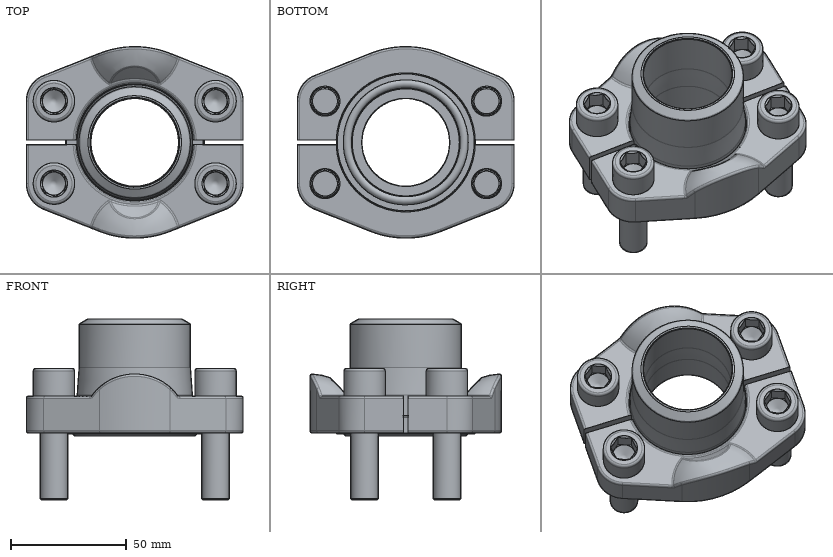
import cadquery as cq
import math


BOLT_X = 70.0 / 2
BOLT_Y = 35.7 / 2

FLANGE_BOTTOM = 0.5
FLANGE_THICKNESS = 16.0
FLANGE_TOP = FLANGE_BOTTOM + FLANGE_THICKNESS
CORNER_RADIUS = 12.0
CROWN_RADIUS = 41.5
EDGE_ROUND = 1.0
SPLIT_GAP = 2.0
BOLT_HOLE_DIAMETER = 13.0
FLANGE_BORE_DIAMETER = 50.8
BORE_CHAMFER = 0.9
HUMP_RADIUS = 24.5
HUMP_CENTRE_Z = 1.6
RELIEF_BASE_RADIUS = 27.4
RELIEF_ANGLE = 34.0

STUB_HEIGHT = 50.0
HEAD_DIAMETER = 60.3
HEAD_HEIGHT = 8.0
HEAD_CHAMFER = 0.5
NECK_DIAMETER = 50.0
NECK_TOP = 17.0
PIPE_DIAMETER = 48.3
PIPE_BOTTOM = 29.0
BEVEL_ANGLE = 30.0
BEVEL_TOP_DIAMETER = 40.5
PIPE_END_CHAMFER = 0.3
LOWER_BORE_DIAMETER = 38.0
UPPER_BORE_DIAMETER = 38.3

SEAL_DIAMETER = 54.17
SEAL_SECTION = 3.53
GROOVE_INNER_DIAMETER = 46.4
SEAL_PROTRUSION = 0.88

SCREW_DIAMETER = 12.0
SCREW_LENGTH = 45.0
SCREW_TIP_CHAMFER = 0.6
CAP_DIAMETER = 18.0
CAP_HEIGHT = 12.0
CAP_ROUND = 1.2
SOCKET_FLATS = 10.0
SOCKET_DEPTH = 8.0
SOCKET_MOUTH_DIAMETER = 11.7
SOCKET_TURN = 8.0
DRILL_POINT_ANGLE = 118.0

SIDE_ANGLE = math.atan2(BOLT_X, BOLT_Y) - math.acos(
    (CROWN_RADIUS - CORNER_RADIUS) / math.hypot(BOLT_X, BOLT_Y)
)


def revolved(points):
    """Solid of revolution about Z from (radius, height) points."""
    return cq.Workplane("XZ").polyline(points).close().revolve(360, (0, 0), (0, 1))


def flange_outline():
    """Crowned hexagonal outline with rounded corners."""
    nx = math.sin(SIDE_ANGLE)
    ny = math.cos(SIDE_ANGLE)
    end_x = BOLT_X + CORNER_RADIUS
    crown_x = CROWN_RADIUS * nx
    crown_y = CROWN_RADIUS * ny
    corner_x = BOLT_X + CORNER_RADIUS * nx
    corner_y = BOLT_Y + CORNER_RADIUS * ny
    mid_angle = SIDE_ANGLE / 2 + math.pi / 4
    mid_x = BOLT_X + CORNER_RADIUS * math.sin(mid_angle)
    mid_y = BOLT_Y + CORNER_RADIUS * math.cos(mid_angle)
    return (
        cq.Workplane("XY", origin=(0, 0, FLANGE_BOTTOM))
        .moveTo(-crown_x, crown_y)
        .threePointArc((0, CROWN_RADIUS), (crown_x, crown_y))
        .lineTo(corner_x, corner_y)
        .threePointArc((mid_x, mid_y), (end_x, BOLT_Y))
        .lineTo(end_x, -BOLT_Y)
        .threePointArc((mid_x, -mid_y), (corner_x, -corner_y))
        .lineTo(crown_x, -crown_y)
        .threePointArc((0, -CROWN_RADIUS), (-crown_x, -crown_y))
        .lineTo(-corner_x, -corner_y)
        .threePointArc((-mid_x, -mid_y), (-end_x, -BOLT_Y))
        .lineTo(-end_x, BOLT_Y)
        .threePointArc((-mid_x, mid_y), (-corner_x, corner_y))
        .close()
    )


def add_humps(plate):
    """Raise a spherical hump over each crown, trimmed to the flange outline."""
    envelope = flange_outline().extrude(FLANGE_THICKNESS + HUMP_RADIUS)
    for side in (1, -1):
        hump = (
            cq.Workplane("XY")
            .sphere(HUMP_RADIUS)
            .rotate((0, 0, 0), (0, 0, 1), 90 * side)
            .translate((0, side * CROWN_RADIUS, HUMP_CENTRE_Z))
        )
        plate = plate.union(hump.intersect(envelope))
    return plate


def hump_relief():
    """Cone that clears the humps back from the pipe, widening upward from the flange top."""
    top_radius = RELIEF_BASE_RADIUS + HUMP_RADIUS * math.tan(math.radians(RELIEF_ANGLE))
    top = FLANGE_TOP + HUMP_RADIUS
    return revolved([
        (0, FLANGE_TOP),
        (RELIEF_BASE_RADIUS, FLANGE_TOP),
        (top_radius, top),
        (0, top),
    ])


def round_edges(plate):
    """Round the bottom rim, the top rim and the edges of the humps."""
    plate = plate.faces("<Z").edges().fillet(EDGE_ROUND)
    lowest_top_edge = FLANGE_TOP - EDGE_ROUND / 2
    top_edges = plate.edges().filter(lambda edge: edge.Center().z > lowest_top_edge)
    return top_edges.fillet(EDGE_ROUND)


def cut_bore(plate):
    """Neck bore with a chamfered and rounded mouth, and the recess for the stub's head."""
    bore_radius = FLANGE_BORE_DIAMETER / 2
    mouth_radius = bore_radius + BORE_CHAMFER
    plate = plate.cut(revolved([
        (0, 0),
        (bore_radius, 0),
        (bore_radius, FLANGE_TOP - BORE_CHAMFER),
        (mouth_radius, FLANGE_TOP),
        (0, FLANGE_TOP),
    ]))
    mouth_edge = plate.edges("%CIRCLE").filter(
        lambda edge: math.isclose(edge.radius(), mouth_radius, abs_tol=0.001)
    )
    plate = mouth_edge.fillet(EDGE_ROUND)
    return plate.cut(cq.Workplane("XY").circle(HEAD_DIAMETER / 2).extrude(HEAD_HEIGHT))


def make_flange_halves():
    """Both halves, made as one flange and parted by the split gap."""
    plate = flange_outline().extrude(FLANGE_THICKNESS)
    plate = add_humps(plate).cut(hump_relief())
    plate = cut_bore(round_edges(plate))
    bolt_holes = (
        cq.Workplane("XY")
        .rect(2 * BOLT_X, 2 * BOLT_Y, forConstruction=True)
        .vertices()
        .circle(BOLT_HOLE_DIAMETER / 2)
        .extrude(FLANGE_TOP)
    )
    gap_length = 3 * (BOLT_X + CORNER_RADIUS)
    gap_height = 3 * FLANGE_TOP
    gap = cq.Workplane("XY").box(gap_length, SPLIT_GAP, gap_height)
    return plate.cut(bolt_holes).cut(gap)


def make_stub():
    """Weld stub: clamped head, tapered neck and a pipe end bevelled for welding."""
    head_radius = HEAD_DIAMETER / 2
    neck_radius = NECK_DIAMETER / 2
    pipe_radius = PIPE_DIAMETER / 2
    lower_bore_radius = LOWER_BORE_DIAMETER / 2
    upper_bore_radius = UPPER_BORE_DIAMETER / 2
    bevel_top_radius = BEVEL_TOP_DIAMETER / 2
    bevel_base_radius = pipe_radius - PIPE_END_CHAMFER
    bevel_height = (bevel_base_radius - bevel_top_radius) * math.tan(math.radians(BEVEL_ANGLE))
    bevel_base = STUB_HEIGHT - bevel_height
    body = revolved([
        (lower_bore_radius, 0),
        (head_radius - HEAD_CHAMFER, 0),
        (head_radius, HEAD_CHAMFER),
        (head_radius, HEAD_HEIGHT - HEAD_CHAMFER),
        (head_radius - HEAD_CHAMFER, HEAD_HEIGHT),
        (neck_radius, HEAD_HEIGHT),
        (neck_radius, NECK_TOP),
        (pipe_radius, PIPE_BOTTOM),
        (pipe_radius, bevel_base - PIPE_END_CHAMFER),
        (bevel_base_radius, bevel_base),
        (bevel_top_radius, STUB_HEIGHT),
        (upper_bore_radius + PIPE_END_CHAMFER, STUB_HEIGHT),
        (upper_bore_radius, STUB_HEIGHT - PIPE_END_CHAMFER),
        (upper_bore_radius, PIPE_BOTTOM),
        (lower_bore_radius, NECK_TOP),
    ])
    groove_depth = SEAL_SECTION - SEAL_PROTRUSION
    groove = (
        cq.Workplane("XY")
        .circle(SEAL_DIAMETER / 2)
        .circle(GROOVE_INNER_DIAMETER / 2)
        .extrude(groove_depth)
    )
    return body.cut(groove)


def make_seal():
    """O-ring seated on the groove's outer wall and floor, standing proud of the sealing face."""
    section_radius = SEAL_SECTION / 2
    ring_radius = SEAL_DIAMETER / 2 - section_radius
    return (
        cq.Workplane("XZ")
        .moveTo(ring_radius, section_radius - SEAL_PROTRUSION)
        .circle(section_radius)
        .revolve(360, (0, 0), (0, 1))
    )


def make_screw(x, y):
    """Socket-head cap screw standing on the flange top at (x, y)."""
    shank = (
        cq.Workplane("XY", origin=(0, 0, FLANGE_TOP))
        .circle(SCREW_DIAMETER / 2)
        .extrude(-SCREW_LENGTH)
        .faces("<Z").edges().chamfer(SCREW_TIP_CHAMFER)
    )
    cap = (
        cq.Workplane("XY", origin=(0, 0, FLANGE_TOP))
        .circle(CAP_DIAMETER / 2)
        .extrude(CAP_HEIGHT)
        .faces(">Z").edges().fillet(CAP_ROUND)
    )
    cap_top = FLANGE_TOP + CAP_HEIGHT
    socket_bottom = cap_top - SOCKET_DEPTH
    hexagon = (
        cq.Workplane("XY", origin=(0, 0, socket_bottom))
        .polygon(6, SOCKET_FLATS, circumscribed=True)
        .extrude(SOCKET_DEPTH)
        .rotate((0, 0, 0), (0, 0, 1), SOCKET_TURN)
    )
    mouth_radius = SOCKET_MOUTH_DIAMETER / 2
    mouth = revolved([(0, cap_top), (mouth_radius, cap_top), (0, cap_top - mouth_radius)])
    point_radius = SOCKET_FLATS / 2
    point_depth = point_radius / math.tan(math.radians(DRILL_POINT_ANGLE / 2))
    point = revolved([(0, socket_bottom), (point_radius, socket_bottom), (0, socket_bottom - point_depth)])
    screw = shank.union(cap)
    return screw.cut(hexagon).cut(mouth).cut(point).translate((x, y, 0))


flange_halves = make_flange_halves()
stub = make_stub()
seal = make_seal()
screws = [make_screw(sx * BOLT_X, sy * BOLT_Y) for sx in (-1, 1) for sy in (-1, 1)]

result = cq.Compound.makeCompound(
    [*flange_halves.solids().vals(), stub.val(), seal.val(), *[s.val() for s in screws]]
)